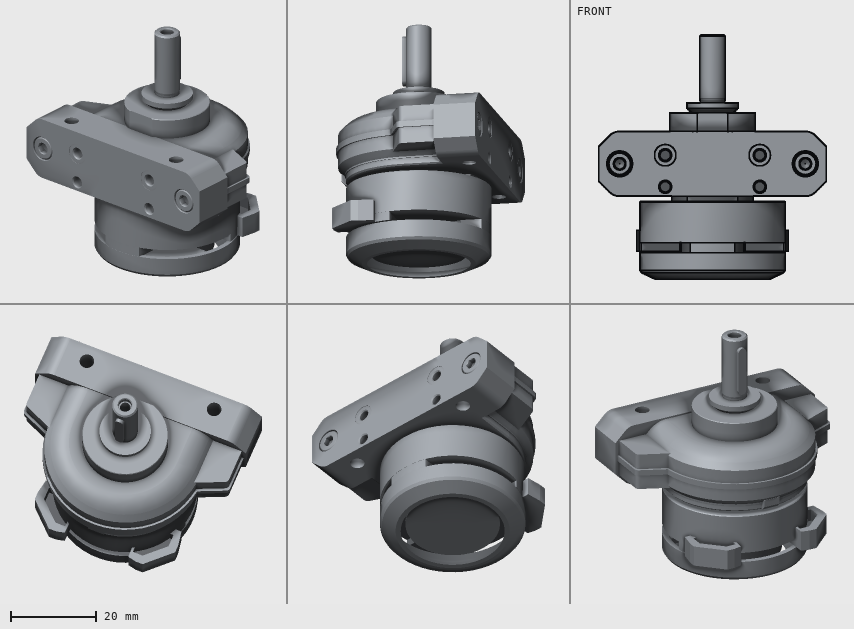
import cadquery as cq
import math

EPS = 0.01
REACH = 40.0

BAR_HEIGHT = 15.1
BAR_BOTTOM = 19.32
BAR_TOP = BAR_BOTTOM + BAR_HEIGHT
SEAM_Z = BAR_BOTTOM + BAR_HEIGHT / 2
SHAFT_TOP = 56.86
BOSS_TOP = 38.8
CASE_TOP = 34.02

BAR_LENGTH = 53.0
BAR_DEPTH = 10.0
BAR_BACK_Y = -9.36
BAR_FRONT_Y = BAR_BACK_Y - BAR_DEPTH
BAR_CORNER_CUT = 3.5
BAR_CORNER_BLEND = 3.1
CASE_RADIUS = 18.8
CASE_WALL_HALF = 3.95
CASE_TOP_FLAT = 13.1
CROWN_BLEND = 6.1
CROWN_TURN = math.radians(45)
CASE_WAIST_RADIUS = 17.25
CASE_WAIST_HEIGHT = 0.35
CASE_FOOT_RADIUS = 17.0
CASE_FOOT_CHAMFER = 0.35
REAR_TAB_Y = 18.0
REAR_TAB_HALF_WIDTH = 2.0
REAR_TAB_TOP = 22.1
REAR_TAB_CHAMFER = 1.0
SEAM_LIP = 0.47
SEAM_THICKNESS = 1.4
LUG_TIP_X = 25.45
LUG_TIP_Y = -1.0
LUG_ROOT_Y = 2.1
LUG_ROOT_X = 18.4
LUG_HEIGHT = 8.95
LUG_TIP_BLEND = 1.1
BOSS_RADIUS = 10.0
BOSS_CHAMFER = 0.15
BOSS_RELIEF_DEPTH = 0.55
BOSS_RELIEF_OUTER = 4.6
BOSS_RELIEF_INNER = 3.7

MOUNT_HOLE_DIA = 3.4
MOUNT_HOLE_X = 16.0
MOUNT_HOLE_Y = -15.5
PORT_X = 11.0
UPPER_PORT_Z = SEAM_Z + 2.0
LOWER_PORT_Z = SEAM_Z - 5.35
PORT_DIA = 2.46
PORT_MOUTH_DIA = 3.0
PORT_DEPTH = 6.0
PORT_SEAT_DIA = 5.0
PORT_SEAT_DEPTH = 0.1

SCREW_X = 21.6
SCREW_DIA = 3.0
SCREW_LENGTH = 12.0
HEAD_DIA = 5.5
HEAD_HEIGHT = 3.0
HEAD_INSET = 0.1
HEAD_CHAMFER = 0.25
HEX_ACROSS_FLATS = 2.5
SOCKET_MOUTH_DIA = 2.9
HEX_DEPTH = 1.5
SOCKET_TIP_RATIO = 0.5
COUNTERBORE_DIA = 5.8
COUNTERBORE_MOUTH_DIA = 6.0

SHAFT_DIA = 6.0
SHAFT_CHAMFER = 0.35
SHAFT_NECK_DIA = 5.8
SHAFT_NECK_TOP = 41.6
SHAFT_FULL_BOTTOM = 42.1
COLLAR_DIA = 12.0
COLLAR_TOP = 41.05
COLLAR_RIM_BOTTOM = 39.85
COLLAR_FOOT_DIA = 9.8
KEY_WIDTH = 2.01
KEY_LENGTH = 12.0
KEY_BOTTOM = 42.9
KEY_CREST_Y = 3.8
CENTRE_MOUTH_DIA = 3.5
CENTRE_BORE_DIA = 3.1
CENTRE_BORE_DEPTH = 1.5
CENTRE_TAP_DIA = 2.46
CENTRE_TAP_DEPTH = 8.0

DRUM_RADIUS = 16.95
DRUM_BOTTOM = 8.55
DRUM_TOP = 18.12
DRUM_CHAMFER = 0.2
NECK_RADIUS = 9.5
NECK_TAB_RADIUS = 14.85
NECK_TAB_HALF_WIDTH = 5.85
RING_INNER_RADIUS = 31.4 / 2
RING_TOP = 6.2
RING_TAPER_TOP = 2.15
RING_SHOULDER_RADIUS = 16.5
RING_SHOULDER_Z = 1.5
RING_FOOT_RADIUS = 13.3
RING_WALL = 1.2
HUB_RADIUS = 7.3
HUB_DISC_RADIUS = 11.0
HUB_DISC_BOTTOM = 2.0
STOP_BOTTOM = 6.5
STOP_TOP = 11.45
WEB_RADIUS = 33.8 / 2
WEB_HALF_WIDTH = 5.16
WEB_ROOT_HALF_WIDTH = 3.0
WEB_ROOT_Y = -6.5
WEB_SHOULDER_Y = -11.2
FLOOR_BACK_Y = -3.4
FLOOR_HALF_WIDTH = 14.75
FLOOR_BOTTOM = 4.5
FLOOR_TOP = 6.0
STOP_SIDE_X = 17.65
STOP_SIDE_Y = 12.4
STOP_REAR_X = 11.8
STOP_REAR_Y = 18.05
STOP_FLANK_Y = 10.6
STOP_FRONT_X = 17.05
STOP_FRONT_Y = 7.0
STOP_REAR_END_X = 10.0
STOP_BACK_X = 8.0
STOP_BACK_Y = 17.6
FOOT_OUTER_X = 16.9
FOOT_FRONT_Y = 3.3
FOOT_INNER_X = 7.6
POCKET_INNER = 8.5
STOP_WALL = 2.0
STOP_CLEARANCE = 0.1


def cylinder(radius, bottom, top):
    return cq.Workplane("XY").workplane(offset=bottom).circle(radius).extrude(top - bottom)


def box(x_range, y_range, z_range):
    corner = (x_range[0], y_range[0], z_range[0])
    size = (x_range[1] - x_range[0], y_range[1] - y_range[0], z_range[1] - z_range[0])
    return cq.Workplane("XY").box(*size, centered=False).translate(corner)


def prism(points, bottom, top):
    return cq.Workplane("XY").workplane(offset=bottom).polyline(points).close().extrude(top - bottom)


def turned(profile_points):
    return cq.Workplane("XZ").polyline(profile_points).close().revolve(360, (0, 0, 0), (0, 1, 0))


def both_sides(solid):
    return solid, solid.mirror("YZ")


def front_bore(x, z, profile):
    """Body turned about a Y-parallel axis; profile holds (radius, depth behind the bar face)."""
    points = [(radius, BAR_FRONT_Y + depth) for radius, depth in profile]
    points = [(0, points[0][1])] + points + [(0, points[-1][1])]
    body = cq.Workplane("XY").polyline(points).close().revolve(360, (0, 0, 0), (0, 1, 0))
    return body.translate((x, 0, z))


def case_half_section():
    shoulder_run = CROWN_BLEND * math.sin(CROWN_TURN)
    shoulder_drop = CROWN_BLEND - shoulder_run
    middle_run = CROWN_BLEND * math.sin(CROWN_TURN / 2)
    middle_drop = CROWN_BLEND * (1 - math.cos(CROWN_TURN / 2))
    wall_top = SEAM_Z + CASE_WALL_HALF
    wall_bottom = SEAM_Z - CASE_WALL_HALF
    waist_top = wall_bottom - (CASE_RADIUS - CASE_WAIST_RADIUS)
    waist_bottom = waist_top - CASE_WAIST_HEIGHT
    return (
        cq.Workplane("XZ")
        .moveTo(0, BAR_BOTTOM)
        .lineTo(CASE_FOOT_RADIUS - CASE_FOOT_CHAMFER, BAR_BOTTOM)
        .lineTo(CASE_FOOT_RADIUS, BAR_BOTTOM + CASE_FOOT_CHAMFER)
        .lineTo(CASE_FOOT_RADIUS, waist_bottom)
        .lineTo(CASE_WAIST_RADIUS, waist_bottom)
        .lineTo(CASE_WAIST_RADIUS, waist_top)
        .lineTo(CASE_RADIUS, wall_bottom)
        .lineTo(CASE_RADIUS, wall_top)
        .lineTo(CASE_TOP_FLAT + shoulder_run, CASE_TOP - shoulder_drop)
        .threePointArc((CASE_TOP_FLAT + middle_run, CASE_TOP - middle_drop), (CASE_TOP_FLAT, CASE_TOP))
        .lineTo(0, CASE_TOP)
        .close()
    )


def case_body():
    back = case_half_section().revolve(360, (0, 0, 0), (0, 1, 0))
    back = back.intersect(box((-REACH, REACH), (0, REACH), (0, SHAFT_TOP)))
    right = case_half_section().extrude(-BAR_BACK_Y)
    left = right.mirror("YZ")
    return back.union(right).union(left)


def side_lug(lip, height):
    outline = [
        (0, BAR_BACK_Y),
        (LUG_TIP_X + lip, BAR_BACK_Y),
        (LUG_TIP_X + lip, LUG_TIP_Y + lip),
        (LUG_ROOT_X + lip, LUG_ROOT_Y + lip),
        (0, LUG_ROOT_Y + lip),
    ]
    lug = prism(outline, SEAM_Z - height / 2, SEAM_Z + height / 2)
    tip = cq.selectors.NearestToPointSelector((LUG_TIP_X + lip, LUG_TIP_Y + lip, SEAM_Z))
    return lug.edges("|Z").edges(tip).fillet(LUG_TIP_BLEND)


def seam_lip():
    low, high = SEAM_Z - SEAM_THICKNESS / 2, SEAM_Z + SEAM_THICKNESS / 2
    outer = CASE_RADIUS + SEAM_LIP
    lip = cylinder(outer, low, high).intersect(box((-REACH, REACH), (0, REACH), (low, high)))
    for lug in both_sides(side_lug(SEAM_LIP, SEAM_THICKNESS)):
        lip = lip.union(lug)
    return lip


def rear_tab():
    """Small tab below the lower shoulder at the back of the case."""
    tab = box((-REAR_TAB_HALF_WIDTH, REAR_TAB_HALF_WIDTH), (0, REAR_TAB_Y), (BAR_BOTTOM, REAR_TAB_TOP))
    return tab.faces(">Y").edges("<Z").chamfer(REAR_TAB_CHAMFER)


def boss():
    body = cylinder(BOSS_RADIUS, CASE_TOP - EPS, BOSS_TOP).faces(">Z").edges().chamfer(BOSS_CHAMFER)
    return body.intersect(box((-REACH, REACH), (BAR_BACK_Y, REACH), (0, SHAFT_TOP)))


def mounting_bar():
    bar = box((-BAR_LENGTH / 2, BAR_LENGTH / 2), (BAR_FRONT_Y, BAR_BACK_Y), (BAR_BOTTOM, BAR_TOP))
    bar = bar.edges("|Y").chamfer(BAR_CORNER_CUT)
    bar = bar.faces(">Z or <Z").edges("|Y").fillet(BAR_CORNER_BLEND)
    relief = prism(
        [
            (-BOSS_RELIEF_OUTER, BAR_BACK_Y),
            (-BOSS_RELIEF_INNER, BAR_BACK_Y - BOSS_RELIEF_DEPTH),
            (BOSS_RELIEF_INNER, BAR_BACK_Y - BOSS_RELIEF_DEPTH),
            (BOSS_RELIEF_OUTER, BAR_BACK_Y),
        ],
        CASE_TOP,
        BAR_TOP,
    )
    return bar.cut(relief)


def port(x, z, seated):
    mouth = (PORT_MOUTH_DIA - PORT_DIA) / 2
    start = PORT_SEAT_DEPTH if seated else 0
    profile = [(PORT_MOUTH_DIA / 2, start), (PORT_DIA / 2, start + mouth), (PORT_DIA / 2, PORT_DEPTH)]
    if seated:
        profile = [(PORT_SEAT_DIA / 2, 0), (PORT_SEAT_DIA / 2, start)] + profile
    return front_bore(x, z, profile)


def screw_hole(x):
    mouth = (COUNTERBORE_MOUTH_DIA - COUNTERBORE_DIA) / 2
    seat = HEAD_INSET + HEAD_HEIGHT
    return front_bore(x, SEAM_Z, [
        (COUNTERBORE_MOUTH_DIA / 2, 0),
        (COUNTERBORE_DIA / 2, mouth),
        (COUNTERBORE_DIA / 2, seat),
        (SCREW_DIA / 2, seat),
        (SCREW_DIA / 2, seat + SCREW_LENGTH),
    ])


def make_housing():
    body = case_body().union(rear_tab()).union(seam_lip()).union(boss()).union(mounting_bar())
    for lug in both_sides(side_lug(0, LUG_HEIGHT)):
        body = body.union(lug)
    for side in (-1, 1):
        mount_hole = cylinder(MOUNT_HOLE_DIA / 2, BAR_BOTTOM, BAR_TOP)
        body = body.cut(mount_hole.translate((side * MOUNT_HOLE_X, MOUNT_HOLE_Y, 0)))
        body = body.cut(port(side * PORT_X, UPPER_PORT_Z, True))
        body = body.cut(port(side * PORT_X, LOWER_PORT_Z, False))
        body = body.cut(screw_hole(side * SCREW_X))
    return body


def make_screw(x):
    seat = HEAD_INSET + HEAD_HEIGHT
    screw = front_bore(x, SEAM_Z, [
        (HEAD_DIA / 2 - HEAD_CHAMFER, HEAD_INSET),
        (HEAD_DIA / 2, HEAD_INSET + HEAD_CHAMFER),
        (HEAD_DIA / 2, seat),
        (SCREW_DIA / 2, seat),
        (SCREW_DIA / 2, seat + SCREW_LENGTH),
    ])
    head_face = cq.Workplane("XZ", origin=(x, BAR_FRONT_Y + HEAD_INSET, SEAM_Z))
    across_corners = HEX_ACROSS_FLATS / math.cos(math.radians(30))
    socket = head_face.polygon(6, across_corners).extrude(-HEX_DEPTH)
    inradius = HEX_ACROSS_FLATS / 2
    mouth = SOCKET_MOUTH_DIA / 2 - inradius
    tip_start = HEAD_INSET + HEX_DEPTH
    tip = front_bore(x, SEAM_Z, [
        (SOCKET_MOUTH_DIA / 2, HEAD_INSET),
        (inradius, HEAD_INSET + mouth),
        (inradius, tip_start),
        (EPS, tip_start + inradius * SOCKET_TIP_RATIO),
    ])
    return screw.cut(socket).cut(tip)


def make_shaft():
    body = turned([
        (0, BOSS_TOP),
        (COLLAR_FOOT_DIA / 2, BOSS_TOP),
        (COLLAR_DIA / 2, COLLAR_RIM_BOTTOM),
        (COLLAR_DIA / 2, COLLAR_TOP),
        (SHAFT_NECK_DIA / 2, COLLAR_TOP),
        (SHAFT_NECK_DIA / 2, SHAFT_NECK_TOP),
        (SHAFT_DIA / 2, SHAFT_FULL_BOTTOM),
        (SHAFT_DIA / 2, SHAFT_TOP - SHAFT_CHAMFER),
        (SHAFT_DIA / 2 - SHAFT_CHAMFER, SHAFT_TOP),
        (0, SHAFT_TOP),
    ])
    key_middle = cq.Workplane("XZ", origin=(0, 0, KEY_BOTTOM + KEY_LENGTH / 2))
    key = key_middle.slot2D(KEY_LENGTH, KEY_WIDTH, 90).extrude(-KEY_CREST_Y)
    mouth = (CENTRE_MOUTH_DIA - CENTRE_BORE_DIA) / 2
    tap_bottom = SHAFT_TOP - CENTRE_TAP_DEPTH
    centre = turned([
        (0, SHAFT_TOP),
        (CENTRE_MOUTH_DIA / 2, SHAFT_TOP),
        (CENTRE_BORE_DIA / 2, SHAFT_TOP - mouth),
        (CENTRE_BORE_DIA / 2, SHAFT_TOP - CENTRE_BORE_DEPTH),
        (CENTRE_TAP_DIA / 2, SHAFT_TOP - CENTRE_BORE_DEPTH),
        (CENTRE_TAP_DIA / 2, tap_bottom),
        (0, tap_bottom - CENTRE_TAP_DIA / 2),
    ])
    return body.union(key).cut(centre)


def drum_and_neck():
    drum = cylinder(DRUM_RADIUS, DRUM_BOTTOM, DRUM_TOP).faces(">Z").edges().chamfer(DRUM_CHAMFER)
    neck = cylinder(NECK_RADIUS, DRUM_TOP, BAR_BOTTOM)
    tab_block = box(
        (-NECK_TAB_HALF_WIDTH, NECK_TAB_HALF_WIDTH), (-NECK_TAB_RADIUS, BAR_BACK_Y), (DRUM_TOP, BAR_BOTTOM)
    )
    tab = cylinder(NECK_TAB_RADIUS, DRUM_TOP, BAR_BOTTOM).intersect(tab_block)
    return drum.union(neck).union(tab)


def lower_ring():
    return turned([
        (RING_INNER_RADIUS, RING_TOP),
        (DRUM_RADIUS, RING_TOP),
        (DRUM_RADIUS, RING_TAPER_TOP),
        (RING_SHOULDER_RADIUS, RING_SHOULDER_Z),
        (RING_FOOT_RADIUS, 0),
        (RING_FOOT_RADIUS - RING_WALL, 0),
        (RING_INNER_RADIUS, RING_TAPER_TOP),
    ])


def hub_and_floor():
    hub = cylinder(HUB_RADIUS, HUB_DISC_BOTTOM, DRUM_BOTTOM)
    disc = cylinder(HUB_DISC_RADIUS, HUB_DISC_BOTTOM, FLOOR_TOP)
    floor_block = box(
        (-FLOOR_HALF_WIDTH, FLOOR_HALF_WIDTH), (-DRUM_RADIUS, FLOOR_BACK_Y), (FLOOR_BOTTOM, FLOOR_TOP)
    )
    floor = cylinder(RING_INNER_RADIUS + EPS, FLOOR_BOTTOM, FLOOR_TOP).intersect(floor_block)
    web_outline = [
        (-WEB_ROOT_HALF_WIDTH, WEB_ROOT_Y),
        (-WEB_HALF_WIDTH, WEB_SHOULDER_Y),
        (-WEB_HALF_WIDTH, -DRUM_RADIUS),
        (WEB_HALF_WIDTH, -DRUM_RADIUS),
        (WEB_HALF_WIDTH, WEB_SHOULDER_Y),
        (WEB_ROOT_HALF_WIDTH, WEB_ROOT_Y),
    ]
    web_block = prism(web_outline, FLOOR_BOTTOM, DRUM_BOTTOM)
    web = cylinder(WEB_RADIUS, FLOOR_BOTTOM, DRUM_BOTTOM).intersect(web_block)
    return hub.union(disc).union(floor).union(web)


def corner_stop():
    """Stop at the (-X, +Y) corner: a foot under the drum and a pocketed nose outside it."""
    nose_outline = [
        (-STOP_FRONT_X, STOP_FRONT_Y),
        (-STOP_SIDE_X, STOP_FLANK_Y),
        (-STOP_SIDE_X, STOP_SIDE_Y),
        (-STOP_REAR_X, STOP_REAR_Y),
        (-STOP_REAR_END_X, STOP_REAR_Y),
        (-STOP_BACK_X, STOP_BACK_Y),
        (-FOOT_INNER_X, STOP_FRONT_Y),
    ]
    foot_outline = [
        (-FOOT_OUTER_X, FOOT_FRONT_Y),
        (-FOOT_INNER_X, FOOT_FRONT_Y),
        (-FOOT_INNER_X, STOP_FRONT_Y),
        (-STOP_FRONT_X, STOP_FRONT_Y),
    ]
    drum_room = cylinder(DRUM_RADIUS + STOP_CLEARANCE, DRUM_BOTTOM, STOP_TOP)
    nose = prism(nose_outline, STOP_BOTTOM, STOP_TOP).cut(drum_room)
    foot = prism(foot_outline, STOP_BOTTOM, DRUM_BOTTOM)
    foot = foot.intersect(cylinder(WEB_RADIUS, STOP_BOTTOM, DRUM_BOTTOM))
    nose_corner_inset = STOP_WALL * math.tan(math.radians(22.5))
    pocket = prism(
        [
            (-STOP_SIDE_X + STOP_WALL, POCKET_INNER),
            (-STOP_SIDE_X + STOP_WALL, STOP_SIDE_Y - nose_corner_inset),
            (-STOP_REAR_X + nose_corner_inset, STOP_REAR_Y - STOP_WALL),
            (-POCKET_INNER, STOP_REAR_Y - STOP_WALL),
            (-POCKET_INNER, POCKET_INNER),
        ],
        DRUM_BOTTOM,
        STOP_TOP,
    )
    return nose.cut(pocket).union(foot)


def make_stop_unit():
    unit = drum_and_neck().union(hub_and_floor()).union(lower_ring())
    for stop in both_sides(corner_stop()):
        unit = unit.union(stop)
    return unit


housing = make_housing()
screws = [make_screw(side * SCREW_X) for side in (-1, 1)]
shaft = make_shaft()
stop_unit = make_stop_unit()

result = cq.Compound.makeCompound([
    housing.val(),
    *[screw.val() for screw in screws],
    shaft.val(),
    stop_unit.val(),
])